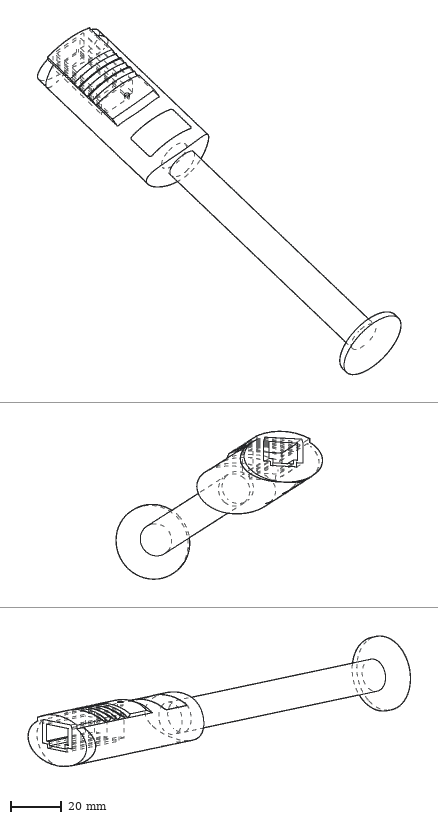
import cadquery as cq
import math

TOTAL_LENGTH = 186.1

HOUSING_LENGTH = 70.2
HOUSING_HALF_WIDTH = 16.4
HOUSING_HALF_HEIGHT = 9.7
REAR_END_RADIUS = 41.7

RELIEF_LENGTH = 5.2
RELIEF_DEPTH = 0.1

PAD_LENGTH = 44.3
PAD_HALF_WIDTH = 11.0
PAD_TOP = 11.0
PAD_ARC_RADIUS = 26.5
PAD_AXIS_Z = PAD_TOP - PAD_ARC_RADIUS
PAD_END_RADIUS = 46.5
PAD_BEVEL_RUN = 3.2
PAD_BEVEL_DROP = 1.3

GROOVE_PAIRS = 3
GROOVE_START = 14.0
GROOVE_PITCH = 5.5
NOTCH_WIDTH = 2.6
GROOVE_DEPTH = 1.0
TOOTH_WALL_RUN = 0.5
GROOVE_CLEARANCE = 1.0

INDICATOR_X = 36.0
INDICATOR_DIAMETER = 2.0
INDICATOR_DEPTH = 1.5

LABEL_START = 50.6
LABEL_LENGTH = 12.3
LABEL_DEPTH = 0.1
LABEL_CORNER_RADIUS = 1.0

JACK_LENGTH = 29.8
JACK_HALF_WIDTH = 8.2
JACK_KEY_HALF_WIDTH = 5.4
JACK_TOP = 8.2
JACK_SHOULDER = -1.5
JACK_BOTTOM = -3.2
JACK_CORNER_RUN = 1.7
JACK_CORNER_DROP = 0.5

SOCKET_DEPTH = 22.3
SOCKET_HALF_WIDTH = 6.0
SOCKET_KEY_HALF_WIDTH = 4.3
SOCKET_TOP = 6.5
SOCKET_SHOULDER = -0.4
SOCKET_BOTTOM = -2.0

ROD_RADIUS = 6.5
ROD_SEAT_DEPTH = 5.5
KNOB_DIAMETER = 30.0
KNOB_RADIUS = KNOB_DIAMETER / 2
KNOB_START = 180.5
KNOB_RIM_START = 183.1
KNOB_EDGE_RADIUS = 1.0


def barrel(inset=0.0):
    """Elliptical prism along X, its surface moved inwards by the inset."""
    return (
        cq.Workplane("YZ")
        .ellipse(HOUSING_HALF_WIDTH - inset, HOUSING_HALF_HEIGHT - inset)
        .extrude(HOUSING_LENGTH)
    )


def bowed_plan(length, half_width, end_radius):
    """Plan outline from X = 0 to an outward arc that reaches the given length."""
    side_length = length - end_radius + math.sqrt(end_radius**2 - half_width**2)
    return (
        cq.Workplane("XY")
        .moveTo(0, -half_width)
        .lineTo(side_length, -half_width)
        .threePointArc((length, 0), (side_length, half_width))
        .lineTo(0, half_width)
        .close()
    )


def housing_shell():
    plan = bowed_plan(HOUSING_LENGTH, HOUSING_HALF_WIDTH, REAR_END_RADIUS)
    return barrel().intersect(plan.extrude(HOUSING_HALF_HEIGHT, both=True))


def side_reliefs():
    """Skin of the barrel between the front face and two lines that spread back from its centre."""
    triangle = [(0, 0), (RELIEF_LENGTH, HOUSING_HALF_WIDTH), (0, HOUSING_HALF_WIDTH)]
    wedge = cq.Workplane("XY").polyline(triangle).close().extrude(HOUSING_HALF_HEIGHT, both=True)
    skin = wedge.cut(barrel(RELIEF_DEPTH))
    return skin, skin.mirror("XZ")


def pad():
    block = bowed_plan(PAD_LENGTH, PAD_HALF_WIDTH, PAD_END_RADIUS).extrude(PAD_TOP)
    crown = cq.Workplane("YZ", origin=(0, 0, PAD_AXIS_Z)).circle(PAD_ARC_RADIUS).extrude(PAD_LENGTH)
    end_edge = cq.selectors.NearestToPointSelector((PAD_LENGTH, 0, PAD_TOP))
    return block.intersect(crown).edges(end_edge).chamfer(PAD_BEVEL_DROP, PAD_BEVEL_RUN)


def groove_pair(start):
    """Ring about the pad axis whose section is a saw-tooth notch and then a concave notch."""
    crest = PAD_ARC_RADIUS
    floor = crest - GROOVE_DEPTH
    clear = crest + GROOVE_CLEARANCE
    middle = start + NOTCH_WIDTH
    end = middle + NOTCH_WIDTH
    return (
        cq.Workplane("XY")
        .moveTo(start, clear)
        .lineTo(start, crest)
        .lineTo(middle - TOOTH_WALL_RUN, floor)
        .lineTo(middle, crest)
        .threePointArc(((middle + end) / 2, floor), (end, crest))
        .lineTo(end, clear)
        .close()
        .revolve(360, (0, 0, 0), (1, 0, 0))
        .translate((0, 0, PAD_AXIS_Z))
    )


def grooved_pad():
    body = pad()
    for index in range(GROOVE_PAIRS):
        body = body.cut(groove_pair(GROOVE_START + index * GROOVE_PITCH))
    return body


def indicator_hole():
    return (
        cq.Workplane("XY", origin=(INDICATOR_X, 0, PAD_TOP))
        .circle(INDICATOR_DIAMETER / 2)
        .extrude(-INDICATOR_DEPTH)
    )


def label_recess():
    plan = (
        cq.Workplane("XY", origin=(LABEL_START + LABEL_LENGTH / 2, 0, 0))
        .rect(LABEL_LENGTH, 2 * PAD_HALF_WIDTH)
        .extrude(HOUSING_HALF_HEIGHT)
        .edges("|Z")
        .fillet(LABEL_CORNER_RADIUS)
    )
    return plan.cut(barrel(LABEL_DEPTH))


def keyed_block(half_width, key_half_width, top, shoulder, bottom, length):
    """Block along X from the front face, narrowed to a key below its shoulder."""
    body_height = top - shoulder
    body = cq.Workplane("XY").box(length, 2 * half_width, body_height, centered=(False, True, False))
    key = cq.Workplane("XY").box(length, 2 * key_half_width, top - bottom, centered=(False, True, False))
    return body.translate((0, 0, shoulder)).union(key.translate((0, 0, bottom)))


def jack_block():
    block = keyed_block(
        JACK_HALF_WIDTH, JACK_KEY_HALF_WIDTH, JACK_TOP, JACK_SHOULDER, JACK_BOTTOM, JACK_LENGTH
    )
    return block.faces(">Z").edges("|X").chamfer(JACK_CORNER_DROP, JACK_CORNER_RUN)


def make_jack():
    socket = keyed_block(
        SOCKET_HALF_WIDTH, SOCKET_KEY_HALF_WIDTH, SOCKET_TOP, SOCKET_SHOULDER, SOCKET_BOTTOM, SOCKET_DEPTH
    )
    return jack_block().cut(socket)


def make_plunger():
    rod_start = HOUSING_LENGTH - ROD_SEAT_DEPTH
    knob = (
        cq.Workplane("XY")
        .polyline(
            [
                (rod_start, 0),
                (rod_start, ROD_RADIUS),
                (KNOB_START, ROD_RADIUS),
                (KNOB_RIM_START, KNOB_RADIUS),
                (TOTAL_LENGTH, KNOB_RADIUS),
                (TOTAL_LENGTH, 0),
            ]
        )
        .close()
        .revolve(360, (0, 0, 0), (1, 0, 0))
    )
    cone_edge = cq.selectors.NearestToPointSelector((KNOB_RIM_START, 0, 0))
    return knob.edges("%CIRCLE").edges(cone_edge).fillet(KNOB_EDGE_RADIUS)


def make_housing():
    body = housing_shell()
    for relief in side_reliefs():
        body = body.cut(relief)
    body = body.union(grooved_pad())
    for opening in (label_recess(), indicator_hole(), jack_block(), make_plunger()):
        body = body.cut(opening)
    return body


housing = make_housing()
jack = make_jack()
plunger = make_plunger()

bodies = [housing, jack, plunger]
result = cq.Compound.makeCompound([body.solids().val() for body in bodies])